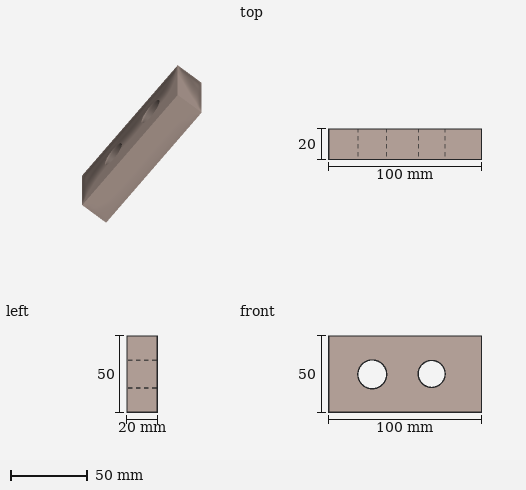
import cadquery as cq

length = 100.0
thickness = 20.0
height = 50.0

large_hole_diameter = 18.7
large_hole_x = -21.5
large_hole_z = -0.1
small_hole_diameter = 17.5
small_hole_x = 17.3
small_hole_z = 0.2


def through_hole(diameter, x, z):
    """Cylinder along Y that spans the full block thickness."""
    return (
        cq.Workplane("XZ")
        .center(x, z)
        .circle(diameter / 2)
        .extrude(thickness / 2, both=True)
    )


block = cq.Workplane("XY").box(length, thickness, height)
large_hole = through_hole(large_hole_diameter, large_hole_x, large_hole_z)
small_hole = through_hole(small_hole_diameter, small_hole_x, small_hole_z)

result = block.cut(large_hole).cut(small_hole)